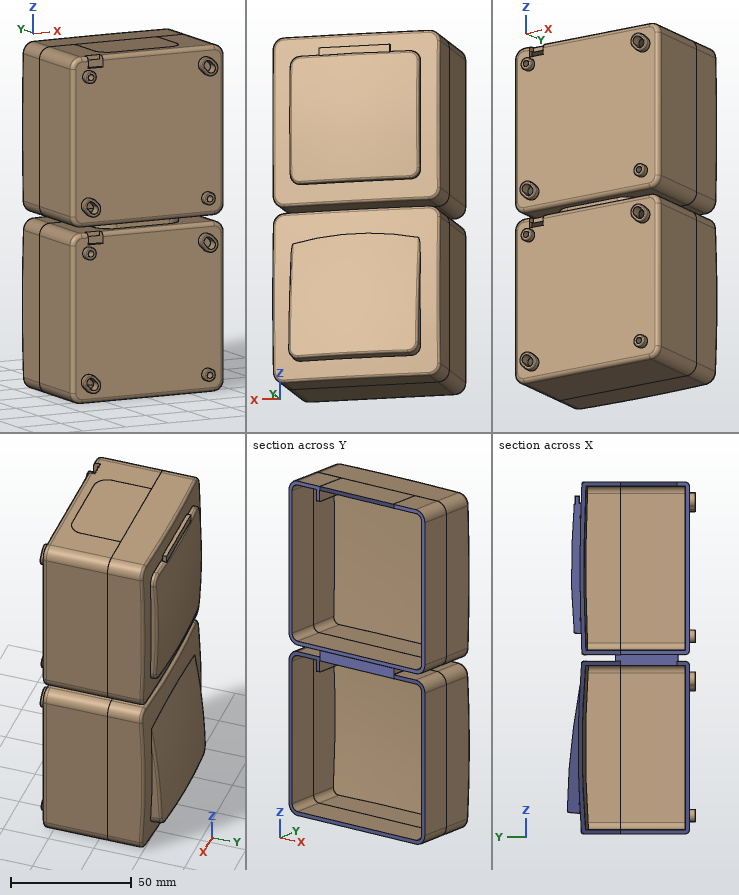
import cadquery as cq

box_size = 72.0
total_height = 146.5
box_gap = total_height - 2 * box_size
box_offset = (box_size + box_gap) / 2
box_corner_radius = 4.8
wall = 1.9

base_depth = 28.9
base_edge_fillet = 1.9
oblong_boss_offset = 27.5
round_boss_outer_offset = 28.3
round_boss_inner_offset = 27.7
boss_height = 2.5
boss_rim_fillet = 0.5
round_boss_diameter = 5.3
round_hole_diameter = 2.6
oblong_boss_width = 6.5
oblong_hole_width = 3.8
oblong_stretch = 2.2
notch_left = -28.3
notch_width = 6.9
notch_height = 4.8
notch_depth = 3.1
rib_thickness = 1.8
rib_reach = 6.7

entry_width = 38.7
entry_depth = 23.5
entry_corner_radius = 6.0

connector_width = 39.3
connector_front = 4.7
connector_back = 30.9
connector_corner_radius = 7.3

upper_crest = 45.9
upper_dome_radius = 732.5
lower_crest = 46.6
lower_dome_radius = 439.5
cover_edge_fillet = 1.2

cap_width = 55.7
cap_height = 54.2
cap_corner_radius = 4.2
cap_dome_radius = 307.6
cap_edge_fillet = 1.0
lid_crest = 49.4
cap_root = 38.1
rocker_tilt = 5.9
rocker_top_crest = 46.7
tab_width = 30.3
tab_back = 45.9
tab_front = 47.6
tab_rise = 3.0
tab_overlap = 3.0


def rounded_block(width, height, corner_radius, y_start, y_end):
    """Block along Y with rounded edges parallel to Y, centred on the Y axis."""
    return (
        cq.Workplane("XZ", origin=(0, y_start, 0))
        .rect(width, height)
        .extrude(y_start - y_end)
        .edges("|Y")
        .fillet(corner_radius)
    )


def domed_block(width, height, corner_radius, y_start, crest, dome_radius):
    """Rounded block whose +Y end is a shallow spherical dome."""
    block = rounded_block(width, height, corner_radius, y_start, crest)
    ball = cq.Workplane("XY").sphere(dome_radius).translate((0, crest - dome_radius, 0))
    return block.intersect(ball)


def oblong(width, y_start, y_end):
    """Prism along Y with rounded ends, stretched along the falling diagonal of the box."""
    return (
        cq.Workplane("XZ", origin=(0, y_start, 0))
        .transformed(rotate=(0, 0, -45))
        .slot2D(width + oblong_stretch, width)
        .extrude(y_start - y_end)
    )


def disc(diameter, y_start, y_end):
    return cq.Workplane("XZ", origin=(0, y_start, 0)).circle(diameter / 2).extrude(y_start - y_end)


def add_boss(base, make_prism, outer_size, hole_size, x, z):
    """Hollow boss on the mounting face, open to the inside of the base."""
    boss = make_prism(outer_size, -boss_height, 0).faces("<Y").edges().fillet(boss_rim_fillet)
    hole = make_prism(hole_size, -boss_height, wall)
    return base.union(boss.translate((x, 0, z))).cut(hole.translate((x, 0, z)))


def drain_notch():
    """Notch through the top edge of the mounting face into the hollow of the base."""
    return (
        cq.Workplane("XY")
        .box(notch_width, notch_depth, notch_height, centered=False)
        .translate((notch_left, 0, box_size / 2 - notch_height))
    )


def notch_rib():
    """Rib under the top wall that closes the inner side of the drain notch."""
    return (
        cq.Workplane("XY")
        .box(rib_thickness, base_depth, rib_reach, centered=False)
        .translate((notch_left + notch_width, 0, box_size / 2 - rib_reach))
    )


def entry_plate():
    """U-shaped plate as thick as the top wall of a box, with its open end at the parting plane."""
    return (
        cq.Workplane("XY", origin=(0, base_depth - entry_depth / 2, box_size / 2))
        .rect(entry_width, entry_depth)
        .extrude(-wall)
        .edges("|Z and <Y")
        .fillet(entry_corner_radius)
    )


def make_base():
    shell = rounded_block(box_size, box_size, box_corner_radius, 0, base_depth)
    shell = shell.faces("<Y").edges().fillet(base_edge_fillet)
    inner_size = box_size - 2 * wall
    hollow = rounded_block(inner_size, inner_size, box_corner_radius - wall, wall, base_depth)
    base = shell.cut(hollow.cut(notch_rib())).cut(entry_plate()).cut(drain_notch())
    for side in (-1, 1):
        base = add_boss(base, oblong, oblong_boss_width, oblong_hole_width,
                        side * oblong_boss_offset, side * oblong_boss_offset)
    for x, z in ((-round_boss_outer_offset, round_boss_inner_offset),
                 (round_boss_inner_offset, -round_boss_outer_offset)):
        base = add_boss(base, disc, round_boss_diameter, round_hole_diameter, x, z)
    return base


def make_entry_insert():
    """Plate that closes the cable entry, flush with the top of the box."""
    return entry_plate()


def make_connector():
    """Spacer between the boxes, with a tongue that fills the cable entry of the lower box."""
    depth = connector_back - connector_front
    spacer = (
        cq.Workplane("XY", origin=(0, connector_front + depth / 2, -box_gap / 2))
        .rect(connector_width, depth)
        .extrude(box_gap)
        .edges("|Z and <Y")
        .fillet(connector_corner_radius)
    )
    return spacer.union(place(entry_plate(), -1))


def cover_envelope(crest, dome_radius):
    """Solid outer shape of a cover, with a filleted rim around its dome."""
    envelope = domed_block(box_size, box_size, box_corner_radius, base_depth, crest, dome_radius)
    return envelope.faces(">Y").edges().fillet(cover_edge_fillet)


def cover_hollow(crest, dome_radius):
    inner_size = box_size - 2 * wall
    return domed_block(inner_size, inner_size, box_corner_radius - wall, base_depth,
                       crest - wall, dome_radius - wall)


def make_cap(crest):
    """Domed cap with a filleted rim, long enough in -Y to be trimmed to a cover."""
    cap = domed_block(cap_width, cap_height, cap_corner_radius, cap_root, crest, cap_dome_radius)
    return cap.faces(">Y").edges().fillet(cap_edge_fillet)


def make_lid(envelope):
    """Lid with a finger tab along its top edge, resting on the cover."""
    tab_height = tab_rise + tab_overlap
    tab = (
        cq.Workplane("XY")
        .box(tab_width, tab_front - tab_back, tab_height)
        .translate((0, (tab_front + tab_back) / 2, cap_height / 2 + tab_rise - tab_height / 2))
    )
    return make_cap(lid_crest).union(tab).cut(envelope)


def make_rocker(envelope):
    """Rocker pressed in at its top edge, with its foot standing on the cover."""
    hinge_height = cap_height / 2
    rocker = make_cap(rocker_top_crest).rotate(
        (0, rocker_top_crest, hinge_height), (1, rocker_top_crest, hinge_height), rocker_tilt
    )
    return rocker.cut(envelope)


def place(body, side):
    """Move a body to the upper (+1) or lower (-1) box."""
    return body.translate((0, 0, side * box_offset))


upper_base = place(make_base(), 1)
lower_base = place(make_base(), -1)
entry_insert = place(make_entry_insert(), 1)
connector = make_connector()

upper_envelope = cover_envelope(upper_crest, upper_dome_radius)
lower_envelope = cover_envelope(lower_crest, lower_dome_radius)
upper_cover = place(upper_envelope.cut(cover_hollow(upper_crest, upper_dome_radius)), 1)
lower_cover = place(lower_envelope.cut(cover_hollow(lower_crest, lower_dome_radius)), -1)
lid = place(make_lid(upper_envelope), 1)
rocker = place(make_rocker(lower_envelope), -1)

result = cq.Compound.makeCompound([
    upper_base.val(),
    lower_base.val(),
    entry_insert.val(),
    connector.val(),
    upper_cover.val(),
    lower_cover.val(),
    lid.val(),
    rocker.val(),
])